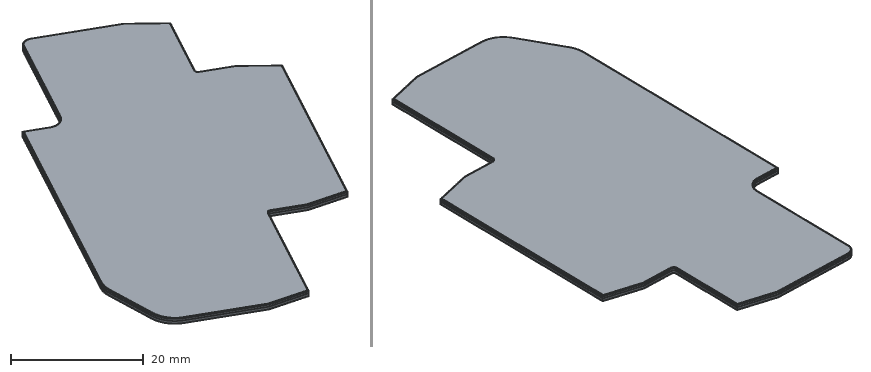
import cadquery as cq
import math

length = 79.05
width = 42.6
thickness = 1.0

lower_thickness = thickness / 2
upper_thickness = thickness - lower_thickness
top_chamfer = 0.14

shoulder_y = 29.6
tower_left = 15.65
tower_right = 54.85
taper_height = 6.8
taper_run = taper_height * math.tan(math.radians(15))
step_x = 23.9
step_y = 6.5
slope_start_x = 67.65
slope_angle = math.radians(30)
slope_end_y = (length - slope_start_x) * math.tan(slope_angle)

notch_radius = 0.5
end_radius = 1.7
step_radius = 2.2
slope_radius = 5.0


def outline_prism(bottom_z, height):
    """Stepped outline with rounded corners, extruded upward from bottom_z."""
    prism = (
        cq.Workplane("XY", origin=(0, 0, bottom_z))
        .moveTo(0, step_y)
        .lineTo(step_x, step_y)
        .lineTo(step_x, 0)
        .lineTo(slope_start_x, 0)
        .lineTo(length, slope_end_y)
        .lineTo(length, shoulder_y - taper_height)
        .lineTo(length - taper_run, shoulder_y)
        .lineTo(tower_right, shoulder_y)
        .lineTo(tower_right, width - taper_height)
        .lineTo(tower_right - taper_run, width)
        .lineTo(tower_left + taper_run, width)
        .lineTo(tower_left, width - taper_height)
        .lineTo(tower_left, shoulder_y)
        .lineTo(taper_run, shoulder_y)
        .lineTo(0, shoulder_y - taper_height)
        .close()
        .extrude(height)
    )
    rounded_corners = [
        (0, step_y, end_radius),
        (step_x, step_y, step_radius),
        (slope_start_x, 0, slope_radius),
        (length, slope_end_y, slope_radius),
        (tower_right, shoulder_y, notch_radius),
        (tower_left, shoulder_y, notch_radius),
    ]
    for x, y, radius in rounded_corners:
        corner = cq.selectors.NearestToPointSelector((x, y, bottom_z + height / 2))
        prism = prism.edges("|Z").edges(corner).fillet(radius)
    return prism


def make_lower_plate():
    return outline_prism(0, lower_thickness)


def make_upper_plate():
    """Upper layer, with its top rim chamfered all around."""
    return outline_prism(lower_thickness, upper_thickness).faces(">Z").chamfer(top_chamfer)


lower_plate = make_lower_plate()
upper_plate = make_upper_plate()

result = cq.Compound.makeCompound([lower_plate.val(), upper_plate.val()])